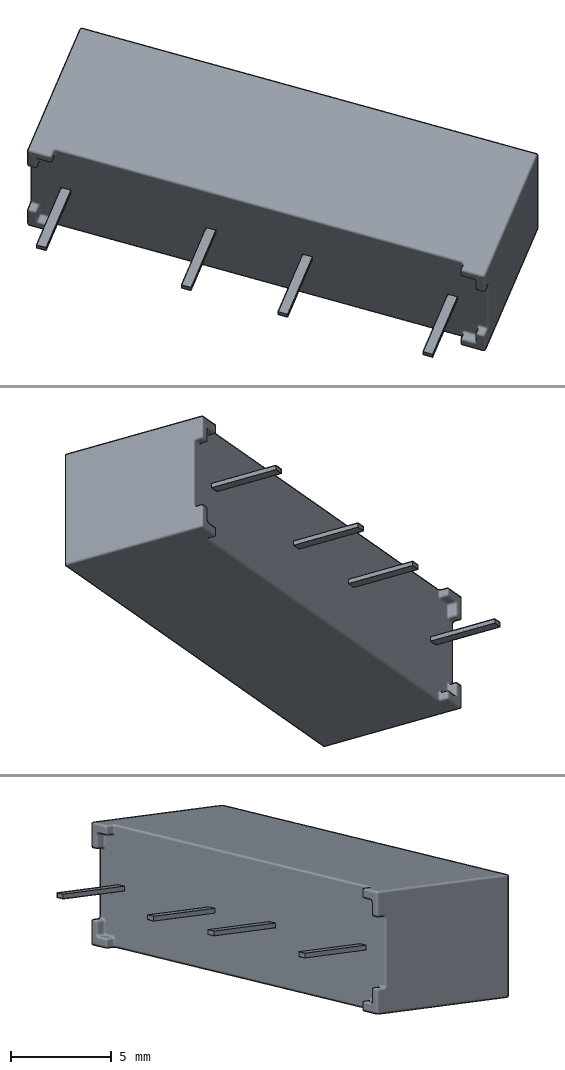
import cadquery as cq

length = 24.1
height = 6.22
overall_depth = 11.42
edge_radius = 0.12

foot_height = 0.5
foot_arm = 1.3
foot_wall = 0.5

pin_width = 0.5
pin_thickness = 0.25
pin_length = 3.78
pin_spacing = 5.09
pin_embedding = 0.48
pin_positions = [offset * pin_spacing for offset in (-2, -0.5, 0.5, 2)]

pin_tip_y = -overall_depth / 2
pin_face_y = pin_tip_y + pin_length
body_depth = overall_depth - pin_length


def block(size_x, size_y, size_z, start_y):
    """Box centred on X and Z that runs from start_y toward +Y."""
    return cq.Workplane("XY").box(size_x, size_y, size_z).translate((0, start_y + size_y / 2, 0))


def make_body():
    """Body with corner feet, rounded on every edge."""
    foot_tip_y = pin_face_y - foot_height
    body = block(length, body_depth + foot_height, height, foot_tip_y)

    recesses = (
        (length - 2 * foot_arm, height),
        (length, height - 2 * foot_arm),
        (length - 2 * foot_wall, height - 2 * foot_wall),
    )
    for recess_length, recess_height in recesses:
        body = body.cut(block(recess_length, foot_height, recess_height, foot_tip_y))
    return body.edges().fillet(edge_radius)


def make_pin(x):
    """Flat pin reaching from inside the body to the tip plane."""
    pin = block(pin_width, pin_length + pin_embedding, pin_thickness, pin_tip_y)
    return pin.translate((x, 0, 0))


result = make_body()
for pin_x in pin_positions:
    result = result.union(make_pin(pin_x))